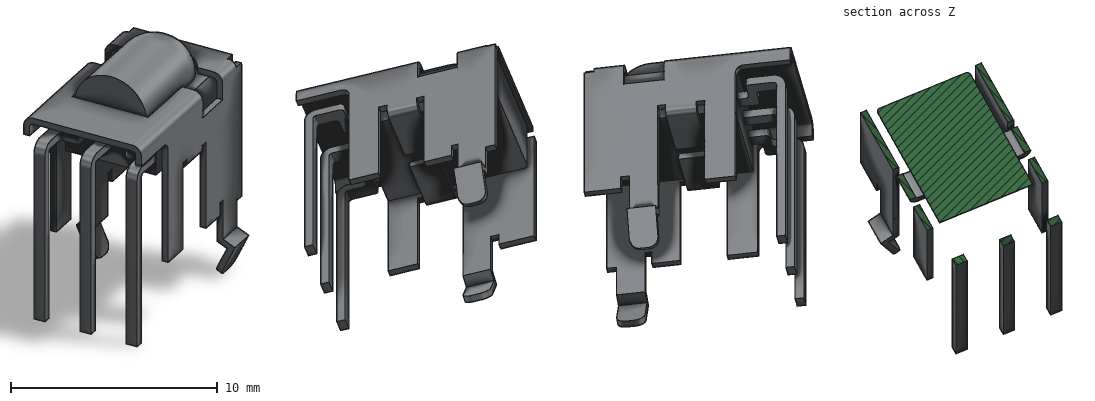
import cadquery as cq
import math


body_width = 5.0
body_front = -4.37
body_back = 2.74
body_bottom = 8.2
body_top = 11.0
body_corner_radius = 0.2
lens_radius = 2.0

lead_pitch = 2.54
lead_width = 0.61
lead_thickness = 0.43
lead_top = 9.8
lead_front = -6.9
lead_bend_inner = 0.18
lead_bend_outer = lead_bend_inner + lead_thickness
jog_back = -4.94
jog_width = 0.43
jog_radius = 0.2
left_root_edge = 1.2
right_root_edge = 1.29

sheet = 0.33
shield_half = 3.25
inner_half = shield_half - sheet
shield_front = -7.19
shield_back = 2.91
plate_clearance = 0.01
plate_bottom = body_top + plate_clearance
plate_top = plate_bottom + sheet
fold_inner = 0.2
fold_outer = fold_inner + sheet
fold_z = plate_top - fold_outer
fold_x = shield_half - fold_outer

wall_front = -4.51
wall_bottom = 3.61
lip_bottom = 10.31
lip_radius = 0.45
notch_front = -3.01
notch_back = -0.7
notch_top = 8.4

lens_gap = 0.1
lens_front_gap = 0.05
window_front = -1.02
window_back = 0.98
window_bottom = 9.93
relief_length = 0.47
left_relief_z = 10.87
right_relief_z = plate_bottom

tab_front = -2.59
tab_back = -1.08
tab_bottom = 7.82
tab_fold_inner = 0.13
tab_fold_outer = tab_fold_inner + sheet
tab_gap_half = 0.39

hook_width = 1.4
hook_reach = 3.9
hook_tip_z = 1.84
hook_angle = math.radians(25)
hook_end_radius = 0.5
slot_front = 0.69
slot_top = 4.31
left_slot_back = 1.115
right_slot_back = 1.02


def box(x0, x1, y0, y1, z0, z1):
    return cq.Workplane("XY").box(x1 - x0, y1 - y0, z1 - z0, centered=False).translate((x0, y0, z0))


def extrude_along_y(profile, y0, y1):
    """Extrude a closed XZ profile from y0 to y1 (y1 > y0)."""
    return profile.extrude(y0 - y1).translate((0, y0, 0))


def make_receiver():
    block = box(-body_width / 2, body_width / 2, body_front, body_back, body_bottom, body_top)
    block = block.edges("|Z and >Y").fillet(body_corner_radius)
    barrel = extrude_along_y(
        cq.Workplane("XZ").center(0, body_top).circle(lens_radius), body_front, 0
    )
    dome = cq.Workplane("XY").sphere(lens_radius).translate((0, 0, body_top))
    above_block = box(
        -lens_radius, lens_radius, body_front, lens_radius, body_top, body_top + lens_radius
    )
    lens = barrel.union(dome).intersect(above_block)
    return block.union(lens)


def lead_side_profile():
    """Constant-thickness L in the YZ plane: out of the body, then down."""
    lead_bottom = lead_top - lead_thickness
    back_of_leg = lead_front + lead_thickness
    bend_y = lead_front + lead_bend_outer
    bend_z = lead_top - lead_bend_outer
    diagonal = math.sqrt(0.5)
    return (
        cq.Workplane("YZ")
        .moveTo(body_front, lead_top)
        .lineTo(bend_y, lead_top)
        .threePointArc(
            (bend_y - lead_bend_outer * diagonal, bend_z + lead_bend_outer * diagonal),
            (lead_front, bend_z),
        )
        .lineTo(lead_front, 0)
        .lineTo(back_of_leg, 0)
        .lineTo(back_of_leg, bend_z)
        .threePointArc(
            (bend_y - lead_bend_inner * diagonal, bend_z + lead_bend_inner * diagonal),
            (bend_y, lead_bottom),
        )
        .lineTo(body_front, lead_bottom)
        .close()
    )


def make_straight_lead():
    return lead_side_profile().extrude(lead_width / 2, both=True)


def make_jogged_lead(side, root_edge):
    """Outer lead: leaves the body nearer the middle, then steps out to the lead pitch."""
    leg_inner = lead_pitch - lead_width / 2
    leg_outer = lead_pitch + lead_width / 2
    jog_front = jog_back - jog_width
    outline = [
        (root_edge, body_front),
        (root_edge, jog_front),
        (leg_inner, jog_front),
        (leg_inner, lead_front),
        (leg_outer, lead_front),
        (leg_outer, jog_back),
        (root_edge + lead_width, jog_back),
        (root_edge + lead_width, body_front),
    ]
    plan = cq.Workplane("XY").polyline([(side * x, y) for x, y in outline]).close().extrude(lead_top)
    jog_zone = cq.selectors.BoxSelector(
        (-shield_half, jog_front - jog_radius, 0), (shield_half, jog_back + jog_radius, lead_top)
    )
    plan = plan.edges("|Z").edges(jog_zone).fillet(jog_radius)
    return plan.intersect(lead_side_profile().extrude(leg_outer, both=True))


def make_folded_plate():
    """Top plate with the two rounded folds along its long sides."""
    outer = box(-shield_half, shield_half, shield_front, shield_back, fold_z - fold_outer, plate_top)
    outer = outer.edges("|Y and >Z").fillet(fold_outer)
    inner = box(-inner_half, inner_half, shield_front, shield_back, fold_z - fold_outer, plate_bottom)
    inner = inner.edges("|Y and >Z").fillet(fold_inner)
    above_fold = box(-shield_half, shield_half, shield_front, shield_back, fold_z, plate_top)
    return outer.cut(inner).intersect(above_fold)


def make_wall(side, slot_back):
    outline = [
        (shield_front, fold_z),
        (shield_back, fold_z),
        (shield_back, wall_bottom),
        (notch_back, wall_bottom),
        (notch_back, notch_top),
        (notch_front, notch_top),
        (notch_front, wall_bottom),
        (wall_front, wall_bottom),
        (wall_front, lip_bottom),
        (shield_front, lip_bottom),
    ]
    wall = cq.Workplane("YZ").polyline(outline).close().extrude(side * sheet)
    wall = wall.translate((side * inner_half, 0, 0))
    lip_corner = cq.selectors.NearestToPointSelector(
        (side * (inner_half + sheet / 2), wall_front, lip_bottom)
    )
    wall = wall.edges("|X").edges(lip_corner).fillet(lip_radius)
    return wall.cut(box(-shield_half, shield_half, slot_front, slot_back, wall_bottom, slot_top))


def make_hook(side, y0):
    """Leg that steps outward, then turns back inward at a right angle to that step."""
    step = (math.cos(hook_angle), math.sin(hook_angle))
    down = (math.sin(hook_angle), -math.cos(hook_angle))
    tip = (-hook_reach, hook_tip_z)
    inner_corner = (
        tip[0] + sheet * (step[0] + down[0]),
        tip[1] + sheet * (step[1] + down[1]),
    )
    slope = math.tan(hook_angle)
    barb_length = hook_tip_z / math.cos(hook_angle)
    end_outer = (tip[0] + barb_length * down[0], 0)
    end_inner = (end_outer[0] + sheet * step[0], sheet * step[1])
    outline = [
        (-shield_half, wall_bottom),
        (-shield_half, tip[1] + (hook_reach - shield_half) * slope),
        tip,
        end_outer,
        end_inner,
        inner_corner,
        (-inner_half, inner_corner[1] - (inner_half + inner_corner[0]) * slope),
        (-inner_half, wall_bottom),
    ]
    profile = cq.Workplane("XZ").polyline([(-side * x, z) for x, z in outline]).close()
    hook = extrude_along_y(profile, y0, y0 + hook_width)
    end_zone = cq.selectors.BoxSelector(
        (-shield_half, y0 - sheet, -sheet), (shield_half, y0 + hook_width + sheet, sheet)
    )
    return hook.edges("not |Y").edges(end_zone).fillet(hook_end_radius)


def make_tab(side):
    """Tab that drops from the wall notch and folds inward under the body."""
    outer = box(tab_gap_half, shield_half, tab_front, tab_back, tab_bottom, notch_top)
    outer = outer.edges("|Y").edges(">X").edges("<Z").fillet(tab_fold_outer)
    inner = box(tab_gap_half, inner_half, tab_front, tab_back, tab_bottom + sheet, notch_top)
    inner = inner.edges("|Y").edges(">X").edges("<Z").fillet(tab_fold_inner)
    tab = outer.cut(inner)
    return tab if side > 0 else tab.mirror("YZ")


def lens_opening():
    radius = lens_radius + lens_gap
    straight = box(-radius, radius, body_front - lens_front_gap, 0, plate_bottom, plate_top)
    round_end = cq.Workplane("XY").circle(radius).extrude(sheet).translate((0, 0, plate_bottom))
    return straight.union(round_end)


def fold_relief(side, relief_z):
    """Cut at the back end of a fold that frees the plate from the wall."""
    y0 = shield_back - relief_length
    gap = box(fold_x, inner_half, y0, shield_back, fold_z, plate_top)
    above_wall = box(inner_half, shield_half, y0, shield_back, relief_z, plate_top)
    cut = gap.union(above_wall)
    return cut if side > 0 else cut.mirror("YZ")


def make_shield():
    shield = make_folded_plate()
    sides = [
        (-1, left_slot_back, slot_front - hook_width, left_relief_z),
        (1, right_slot_back, right_slot_back, right_relief_z),
    ]
    for side, slot_back, hook_y, relief_z in sides:
        shield = shield.union(make_wall(side, slot_back))
        shield = shield.union(make_hook(side, hook_y))
        shield = shield.union(make_tab(side))
        shield = shield.cut(fold_relief(side, relief_z))
    window = box(-shield_half, shield_half, window_front, window_back, window_bottom, plate_top)
    return shield.cut(window).cut(lens_opening())


receiver = make_receiver()
shield = make_shield()
leads = [make_straight_lead()]
for lead_side, edge in ((-1, left_root_edge), (1, right_root_edge)):
    leads.append(make_jogged_lead(lead_side, edge))

result = cq.Compound.makeCompound([receiver.val(), shield.val(), *[lead.val() for lead in leads]])